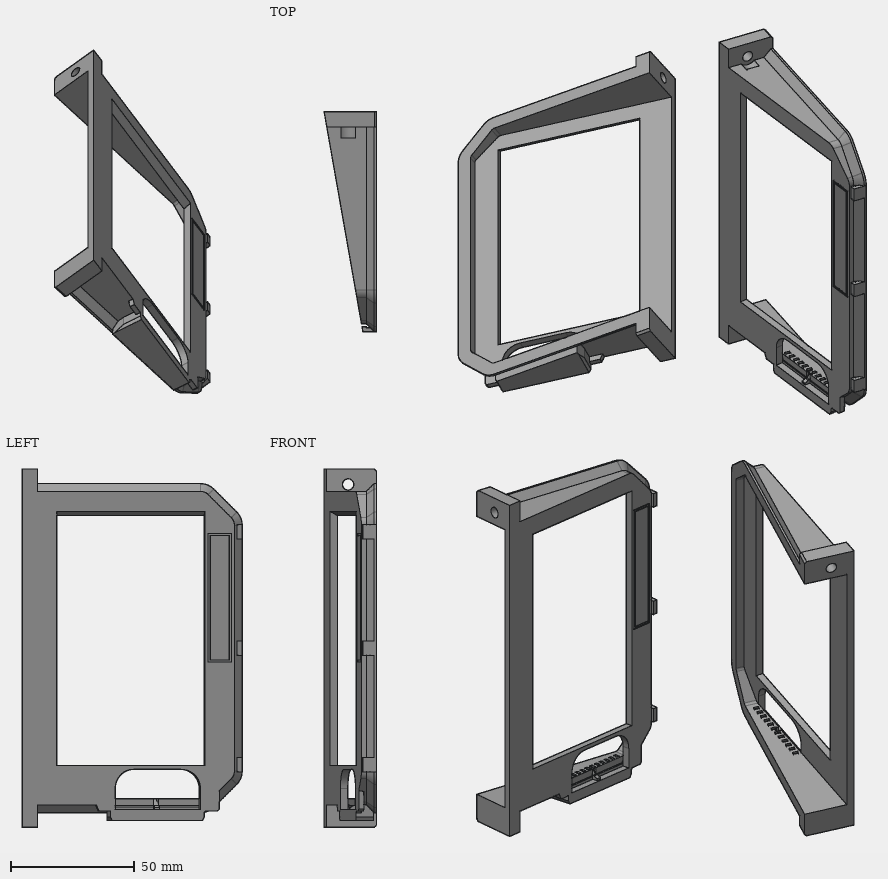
import cadquery as cq
import math

width = 21.31
depth = 89.3
height = 145.4

slant = 10.0
face_x_front = depth * math.tan(math.radians(slant))
plate_thickness = 3.1

half_corner_turn = 22.5
rim_margin = 5.9
rim_corner_leg = 13.8
rim_corner_radius = 7.6
flare = 3.2
rim_land = 0.95
wall = 2.6
cavity_inset = flare + wall
cavity_floor_z = rim_margin + cavity_inset

flange_thickness = 6.3
flange_chamfer = 0.9
screw_diameter = 4.5
screw_x = 9.8
screw_z = 139.1
head_clearance_radius = 4.05
head_clearance_length = 4.5

window_y = (15.1, 75.2)
window_z = (25.2, 128.2)
window_top_drop = 1.75

connector_y = (17.0, 51.5)
connector_z = (7.2, 23.5)
connector_corner_radius = 7.7

trough_depth = 4.6
trough_lip_z = 8.9
trough_end_z = trough_lip_z + trough_depth - plate_thickness
trough_arc_sag = 0.6
rib_y = 34.4
rib_width = 2.0
rib_setback = 0.8
rib_notch_depth = 2.0

slot_count = 12
slot_pitch = 2.9
slot_width = 1.3
slot_length = 2.2
slot_depth = 0.9
slot_setback = 0.9
slot_first_y = 19.0

skirt_y = (9.3, 59.3)
skirt_z = (6.6, 15.0)
skirt_thickness = 2.1
skirt_chamfer_front = 0.8
skirt_chamfer_back = (1.2, 2.7)
block_y = (15.4, 53.5)
block_back_limit = 54.9
block_z = (2.7, 10.5)
block_x_end = 20.1
block_chamfer = (0.8, 1.5)
block_gusset = 0.7

tab_count = 3
tab_pitch = 47.2
tab_width = 5.9
tab_thickness = 1.7
tab_lip_thickness = 2.1
tab_lip_x_end = 17.2

label_y = (4.4, 13.9)
label_z = (67.0, 119.3)
label_groove_width = 0.9
label_groove_depth = 0.5

overrun = 40.0


def along(y):
    """Distance along the slanted face that corresponds to a given Y."""
    return y / math.cos(math.radians(slant))


def face_plane(inward=0.0):
    """Plane parallel to the slanted face: local x runs to the back, local y is Z, normal points inward."""
    c = math.cos(math.radians(slant))
    s = math.sin(math.radians(slant))
    origin = (face_x_front + inward * c, inward * s, 0)
    return cq.Plane(origin=origin, xDir=(-s, c, 0), normal=(c, s, 0))


def box(x, y, z):
    """Axis-aligned box from (min, max) pairs."""
    size = (x[1] - x[0], y[1] - y[0], z[1] - z[0])
    return cq.Workplane("XY").box(*size, centered=False).translate((x[0], y[0], z[0]))


def face_box(y, z, inward):
    """Box with walls square to the slanted face, from (min, max) pairs."""
    length = along(y[1]) - along(y[0])
    solid = cq.Workplane(face_plane(inward[0])).center(along(y[0]), z[0])
    return solid.rect(length, z[1] - z[0], centered=False).extrude(inward[1] - inward[0])


def behind_face(inward=0.0):
    """Everything on the inner side of the slanted face moved inward by a distance."""
    return face_box((-overrun, depth + overrun), (-overrun, height + overrun), (inward, overrun))


def frame_prism(inset, x_start):
    """Frame outline with cut front corners, inset from the rim, running past the back of the part."""
    leg = rim_corner_leg - inset * (1 - math.tan(math.radians(half_corner_turn)))
    low = rim_margin + inset
    high = height - low
    back = depth + overrun
    points = [
        (back, low),
        (inset + leg, low),
        (inset, low + leg),
        (inset, high - leg),
        (inset + leg, high),
        (back, high),
    ]
    prism = cq.Workplane("YZ", origin=(x_start, 0, 0)).polyline(points).close().extrude(width - x_start)
    front_corners = cq.selectors.BoxSelector((-overrun, -overrun, -overrun), (2 * width, depth, 2 * height))
    return prism.edges("|X").edges(front_corners).fillet(rim_corner_radius - inset)


def make_frame():
    """Plain frame body with a wider rim whose inner edge flares out at 45 degrees."""
    rim = frame_prism(0, width - rim_land - flare).faces("<X").chamfer(flare)
    return frame_prism(flare, 0).union(rim)


def make_flange():
    flange = box((0, width), (depth - flange_thickness, depth), (0, height))
    return flange.faces(">X").edges("|Y").chamfer(flange_chamfer)


def make_tabs():
    """Front tabs, thicker at their free end to form a catch."""
    tabs = cq.Workplane("XY")
    for i in range(tab_count):
        z = height / 2 + (i - (tab_count - 1) / 2) * tab_pitch
        span_z = (z - tab_width / 2, z + tab_width / 2)
        tabs = tabs.union(box((0, width), (0, tab_thickness), span_z))
        tabs = tabs.union(box((0, tab_lip_x_end), (0, tab_lip_thickness), span_z))
    return tabs


def make_skirt():
    """Thin continuation of the face plate, with a small gusset at the front of the block."""
    y0, y1 = skirt_y
    z0, z1 = skirt_z
    points = [
        (along(y0), z1),
        (along(y0), z0 + skirt_chamfer_front),
        (along(y0 + skirt_chamfer_front), z0),
        (along(block_y[0] - block_gusset), z0),
        (along(block_y[0]), z0 - block_gusset),
        (along(block_y[0] + block_gusset), z0),
        (along(y1 - skirt_chamfer_back[0]), z0),
        (along(y1), z0 + skirt_chamfer_back[1]),
        (along(y1), z1),
    ]
    return cq.Workplane(face_plane()).polyline(points).close().extrude(skirt_thickness)


def make_block():
    y0, y1 = block_y
    z0, z1 = block_z
    cut_y, cut_z = block_chamfer
    points = [
        (along(y0), z1),
        (along(y0), z0 + cut_z),
        (along(y0 + cut_y), z0),
        (along(y1 - cut_y), z0),
        (along(y1), z0 + cut_z),
        (along(y1), z1),
    ]
    prism = cq.Workplane(face_plane()).polyline(points).close().extrude(width)
    return prism.intersect(box((0, block_x_end), (0, block_back_limit), (0, height)))


def make_cavity():
    """Interior behind the face plate, open at the back and on the +X side."""
    return frame_prism(cavity_inset, 0).intersect(behind_face(plate_thickness))


def section_plane(y):
    """Workplane across the slanted face at a given Y: local x is the inward distance, local y is Z."""
    plane = face_plane()
    start = plane.toWorldCoords((along(y), 0, 0))
    return cq.Workplane(cq.Plane(origin=start, xDir=plane.zDir, normal=plane.xDir * -1))


def face_section(points, y):
    """Profile of (inward distance, Z) points swept along the slanted face between two Y values."""
    return section_plane(y[0]).polyline(points).close().extrude(along(y[0]) - along(y[1]))


def make_window():
    bottom, top = window_z
    profile = [
        (0, bottom),
        (plate_thickness, bottom),
        (plate_thickness, top - window_top_drop),
        (0, top),
    ]
    return face_section(profile, window_y)


def make_connector_window():
    opening = face_box(connector_y, connector_z, (0, plate_thickness))
    upper = cq.selectors.BoxSelector((-overrun, -overrun, cavity_floor_z), (2 * width, depth, height))
    normal = cq.selectors.ParallelDirSelector(face_plane().zDir)
    return opening.edges(normal).edges(upper).fillet(connector_corner_radius)


def make_trough():
    """Undercut with a curved floor that meets a 45 degree ceiling at its inner end."""
    y0, y1 = connector_y
    sill_z = connector_z[0]
    arc_middle = (
        trough_depth / 2 + trough_arc_sag,
        (sill_z + trough_end_z) / 2 - trough_arc_sag,
    )
    outline = section_plane(y0).moveTo(0, sill_z)
    outline = outline.threePointArc(arc_middle, (trough_depth, trough_end_z))
    outline = outline.lineTo(plate_thickness, trough_lip_z).lineTo(0, trough_lip_z).close()
    return outline.extrude(along(y0) - along(y1))


def make_rib():
    profile = [
        (rib_setback, connector_z[0] - rib_setback),
        (trough_depth, connector_z[0]),
        (trough_depth, trough_end_z),
        (plate_thickness, trough_lip_z),
        (plate_thickness - rib_setback, trough_lip_z),
        (rib_setback, connector_z[0] + rib_setback),
    ]
    return face_section(profile, (rib_y - rib_width / 2, rib_y + rib_width / 2))


def make_rib_notch():
    profile = [
        (plate_thickness, trough_lip_z),
        (plate_thickness + rib_notch_depth, cavity_floor_z),
        (plate_thickness, cavity_floor_z),
    ]
    return face_section(profile, (rib_y - rib_width / 2, rib_y + rib_width / 2))


def make_floor_slots():
    start = plate_thickness + slot_setback
    slots = cq.Workplane("XY")
    for i in range(slot_count):
        y = slot_first_y + i * slot_pitch
        x = face_x_front - y * math.tan(math.radians(slant)) + start
        slot = box((x, x + slot_length), (y, y + slot_width), (cavity_floor_z - slot_depth, cavity_floor_z))
        slots = slots.union(slot)
    return slots


def make_label_groove():
    w = label_groove_width
    outer = face_box(label_y, label_z, (0, label_groove_depth))
    inner_y = (label_y[0] + w, label_y[1] - w)
    inner_z = (label_z[0] + w, label_z[1] - w)
    return outer.cut(face_box(inner_y, inner_z, (0, label_groove_depth)))


def make_screw_cut():
    """Screw hole through the flange and a round relief for the screw head in the frame top."""
    plane = cq.Plane(origin=(screw_x, depth, screw_z), xDir=(1, 0, 0), normal=(0, -1, 0))
    hole = cq.Workplane(plane).circle(screw_diameter / 2).extrude(flange_thickness)
    head = cq.Workplane(plane).workplane(offset=flange_thickness)
    return hole.union(head.circle(head_clearance_radius).extrude(head_clearance_length))


body = make_frame().union(make_flange()).union(make_tabs())
body = body.cut(make_cavity())
body = body.union(make_skirt()).union(make_block())
body = body.cut(make_window()).cut(make_connector_window()).cut(make_trough())
body = body.union(make_rib()).cut(make_rib_notch())
body = body.cut(make_floor_slots()).cut(make_label_groove()).cut(make_screw_cut())
body = body.intersect(behind_face())
result = body.intersect(box((0, width), (0, depth), (0, height)))